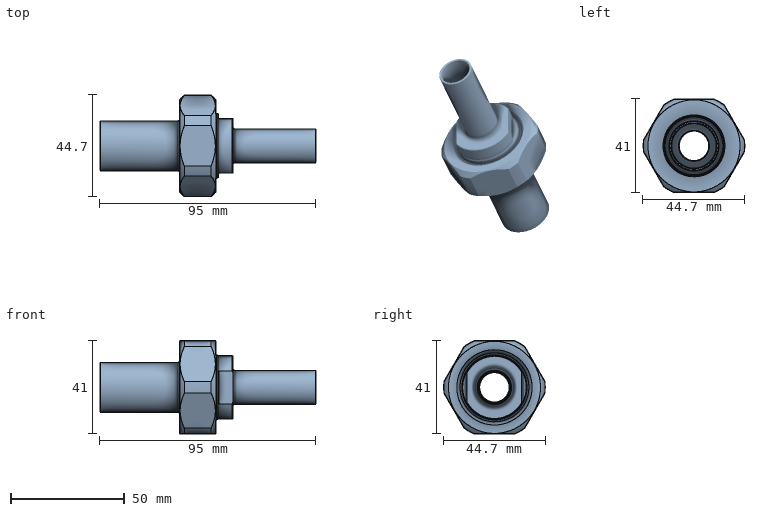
import cadquery as cq
import math


TOTAL_LENGTH = 95.0
NUT_LEFT = 35.0
NUT_WIDTH = 16.0
NUT_RIGHT = NUT_LEFT + NUT_WIDTH
JOINT_X = 43.0
COLLAR_END = 58.4

HEX_ACROSS_FLATS = 41.0
HEX_TURN = 30.0
HEX_CORNER_DIA = 44.68
HEX_FACE_DIA = 40.5
NUT_HOLE_DIA = 26.5
NUT_HOLE_CHAMFER = 0.35
NUT_THREAD_DIA = 30.29
NUT_ENTRY_DIA = 33.1
NUT_LIP = 4.0

LARGE_TUBE_DIA = 22.0
LARGE_BORE_DIA = 19.6
LARGE_COLLAR_DIA = 26.0
LARGE_COLLAR_X = NUT_LEFT + 0.2
LARGE_COLLAR_CHAMFER = 0.3
LARGE_FLANGE_DIA = 29.5

SMALL_TUBE_DIA = 15.0
SMALL_BORE_DIA = 13.0
WRENCH_COLLAR_DIA = 28.0
WRENCH_COLLAR_CHAMFER = 0.3
NECK_DIA = 28.6
NECK_TAPER_LEFT = NUT_RIGHT + 0.3
WRENCH_FLATS = 24.0
NECK_TAPER_RIGHT = NUT_RIGHT + 0.95
WRENCH_FLAT_LEFT = NUT_RIGHT + 1.05
WRENCH_FLAT_FILLET = 0.5

TUBE_FOOT_FILLET = 1.0
TUBE_END_CHAMFER = 0.3


def disc(x_start, x_end, diameter):
    """Solid cylinder along X between two positions."""
    return cq.Workplane("YZ", origin=(x_start, 0, 0)).circle(diameter / 2).extrude(x_end - x_start)


def revolve_about_x(profile):
    """Turn a closed profile drawn as (x, radius) about the X axis."""
    return profile.close().revolve(360, (0, 0, 0), (1, 0, 0))


def foot_arc_mid(centre_x, centre_r, toward_x):
    """Middle point of a concave quarter round at the foot of a tube."""
    reach = TUBE_FOOT_FILLET * math.sqrt(0.5)
    return (centre_x + toward_x * reach, centre_r - reach)


def build_large_tail():
    bore_r = LARGE_BORE_DIA / 2
    tube_r = LARGE_TUBE_DIA / 2
    collar_r = LARGE_COLLAR_DIA / 2
    flange_r = LARGE_FLANGE_DIA / 2
    flange_x = NUT_LEFT + NUT_LIP
    foot_x = LARGE_COLLAR_X - TUBE_FOOT_FILLET
    foot_r = tube_r + TUBE_FOOT_FILLET
    profile = (
        cq.Workplane("XY")
        .moveTo(TUBE_END_CHAMFER, bore_r)
        .lineTo(0, bore_r + TUBE_END_CHAMFER)
        .lineTo(0, tube_r - TUBE_END_CHAMFER)
        .lineTo(TUBE_END_CHAMFER, tube_r)
        .lineTo(foot_x, tube_r)
        .threePointArc(foot_arc_mid(foot_x, foot_r, 1), (LARGE_COLLAR_X, foot_r))
        .lineTo(LARGE_COLLAR_X, collar_r - LARGE_COLLAR_CHAMFER)
        .lineTo(LARGE_COLLAR_X + LARGE_COLLAR_CHAMFER, collar_r)
        .lineTo(flange_x, collar_r)
        .lineTo(flange_x, flange_r)
        .lineTo(JOINT_X, flange_r)
        .lineTo(JOINT_X, bore_r)
    )
    return revolve_about_x(profile)


def build_nut():
    hexagon = (
        cq.Workplane("YZ", origin=(NUT_LEFT, 0, 0))
        .polygon(6, HEX_ACROSS_FLATS, circumscribed=True)
        .extrude(NUT_WIDTH)
        .rotate((0, 0, 0), (1, 0, 0), HEX_TURN)
    )
    corner_chamfer = (HEX_CORNER_DIA - HEX_FACE_DIA) / 2
    turned_blank = disc(NUT_LEFT, NUT_RIGHT, HEX_CORNER_DIA).edges().chamfer(corner_chamfer)

    hole_r = NUT_HOLE_DIA / 2
    thread_r = NUT_THREAD_DIA / 2
    entry_r = NUT_ENTRY_DIA / 2
    lip_x = NUT_LEFT + NUT_LIP
    opening = revolve_about_x(
        cq.Workplane("XY")
        .moveTo(NUT_LEFT, 0)
        .lineTo(NUT_LEFT, hole_r + NUT_HOLE_CHAMFER)
        .lineTo(NUT_LEFT + NUT_HOLE_CHAMFER, hole_r)
        .lineTo(lip_x, hole_r)
        .lineTo(lip_x, thread_r)
        .lineTo(NUT_RIGHT - (entry_r - thread_r), thread_r)
        .lineTo(NUT_RIGHT, entry_r)
        .lineTo(NUT_RIGHT, 0)
    )
    return hexagon.intersect(turned_blank).cut(opening)


def wrench_flat_cutter(side):
    """Block that cuts one wrench flat; its inner corner leaves a rounded root."""
    depth = WRENCH_COLLAR_DIA / 2
    length = COLLAR_END - WRENCH_FLAT_LEFT
    block = cq.Workplane("XY").box(length, depth, WRENCH_COLLAR_DIA, centered=(False, False, True))
    block = block.edges("<X and <Y").fillet(WRENCH_FLAT_FILLET)
    block = block.translate((WRENCH_FLAT_LEFT, WRENCH_FLATS / 2, 0))
    return block if side > 0 else block.mirror("XZ")


def build_small_tail():
    bore_r = SMALL_BORE_DIA / 2
    tube_r = SMALL_TUBE_DIA / 2
    collar_r = WRENCH_COLLAR_DIA / 2
    thread_r = NUT_THREAD_DIA / 2
    neck_r = NECK_DIA / 2
    thread_end = NUT_RIGHT - (NUT_ENTRY_DIA - NUT_THREAD_DIA) / 2
    foot_x = COLLAR_END + TUBE_FOOT_FILLET
    foot_r = tube_r + TUBE_FOOT_FILLET
    profile = (
        cq.Workplane("XY")
        .moveTo(JOINT_X + TUBE_END_CHAMFER, bore_r)
        .lineTo(JOINT_X, bore_r + TUBE_END_CHAMFER)
        .lineTo(JOINT_X, thread_r)
        .lineTo(thread_end, thread_r)
        .lineTo(thread_end, neck_r)
        .lineTo(NECK_TAPER_LEFT, neck_r)
        .lineTo(NECK_TAPER_RIGHT, collar_r)
        .lineTo(COLLAR_END - WRENCH_COLLAR_CHAMFER, collar_r)
        .lineTo(COLLAR_END, collar_r - WRENCH_COLLAR_CHAMFER)
        .lineTo(COLLAR_END, foot_r)
        .threePointArc(foot_arc_mid(foot_x, foot_r, -1), (foot_x, tube_r))
        .lineTo(TOTAL_LENGTH - TUBE_END_CHAMFER, tube_r)
        .lineTo(TOTAL_LENGTH, tube_r - TUBE_END_CHAMFER)
        .lineTo(TOTAL_LENGTH, bore_r + TUBE_END_CHAMFER)
        .lineTo(TOTAL_LENGTH - TUBE_END_CHAMFER, bore_r)
    )
    tail = revolve_about_x(profile)
    for side in (-1, 1):
        tail = tail.cut(wrench_flat_cutter(side))
    return tail


large_tail = build_large_tail()
nut = build_nut()
small_tail = build_small_tail()

result = cq.Compound.makeCompound([large_tail.val(), nut.val(), small_tail.val()])